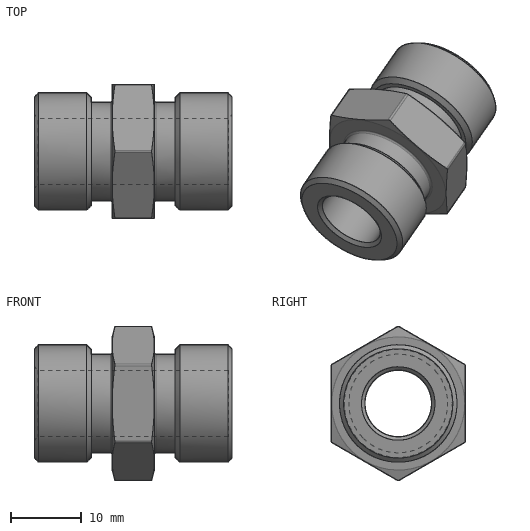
import cadquery as cq
import math

length = 28.0
hex_width = 6.0
hex_across_flats = 19.0
hex_corner_radius = 0.35

collar_diameter = 16.65
collar_length = 8.05
collar_inner_chamfer = 0.67
collar_outer_chamfer = 0.6

neck_diameter = 14.0
neck_fillet_radius = 0.25

bore_diameter = 9.4
bore_chamfer = 0.5

hex_face_diameter = 18.87
hex_chamfer_angle = 15.0

half_length = length / 2
half_hex = hex_width / 2
collar_radius = collar_diameter / 2
neck_radius = neck_diameter / 2
bore_radius = bore_diameter / 2
hex_corner_diameter = hex_across_flats / math.cos(math.radians(30))


def revolve_about_x(profile):
    """Close an XY profile and revolve it a full turn about the X axis."""
    return profile.close().revolve(360, (0, 0, 0), (1, 0, 0))


def make_hexagon():
    """Hexagon with corners on +Z and -Z, rounded edges and chamfered faces."""
    prism = (
        cq.Workplane("YZ")
        .polygon(6, hex_corner_diameter)
        .extrude(half_hex, both=True)
        .rotate((0, 0, 0), (1, 0, 0), 90)
        .edges("|X")
        .fillet(hex_corner_radius)
    )
    face_radius = hex_face_diameter / 2
    rim_radius = hex_corner_diameter / 2
    chamfer_length = (rim_radius - face_radius) * math.tan(math.radians(hex_chamfer_angle))
    rim_x = half_hex - chamfer_length
    chamfer_envelope = revolve_about_x(
        cq.Workplane("XY")
        .moveTo(-half_hex, 0)
        .lineTo(-half_hex, face_radius)
        .lineTo(-rim_x, rim_radius)
        .lineTo(rim_x, rim_radius)
        .lineTo(half_hex, face_radius)
        .lineTo(half_hex, 0)
    )
    return prism.intersect(chamfer_envelope)


def make_right_end():
    """Neck and collar on the +X side, with a root fillet against the hexagon."""
    collar_start = half_length - collar_length
    fillet_end = half_hex + neck_fillet_radius
    fillet_top = neck_radius + neck_fillet_radius
    arc_offset = neck_fillet_radius * (1 - math.sqrt(0.5))
    return revolve_about_x(
        cq.Workplane("XY")
        .lineTo(half_hex, 0)
        .lineTo(half_hex, fillet_top)
        .threePointArc(
            (half_hex + arc_offset, neck_radius + arc_offset),
            (fillet_end, neck_radius),
        )
        .lineTo(collar_start, neck_radius)
        .lineTo(collar_start, collar_radius - collar_inner_chamfer)
        .lineTo(collar_start + collar_inner_chamfer, collar_radius)
        .lineTo(half_length - collar_outer_chamfer, collar_radius)
        .lineTo(half_length, collar_radius - collar_outer_chamfer)
        .lineTo(half_length, 0)
    )


def make_bore():
    """Through bore, widened by a countersink at both ends."""
    mouth_radius = bore_radius + bore_chamfer
    chamfer_start = half_length - bore_chamfer
    return revolve_about_x(
        cq.Workplane("XY")
        .moveTo(-half_length, 0)
        .lineTo(-half_length, mouth_radius)
        .lineTo(-chamfer_start, bore_radius)
        .lineTo(chamfer_start, bore_radius)
        .lineTo(half_length, mouth_radius)
        .lineTo(half_length, 0)
    )


right_end = make_right_end()
left_end = right_end.mirror("YZ")
result = make_hexagon().union(right_end).union(left_end).cut(make_bore())